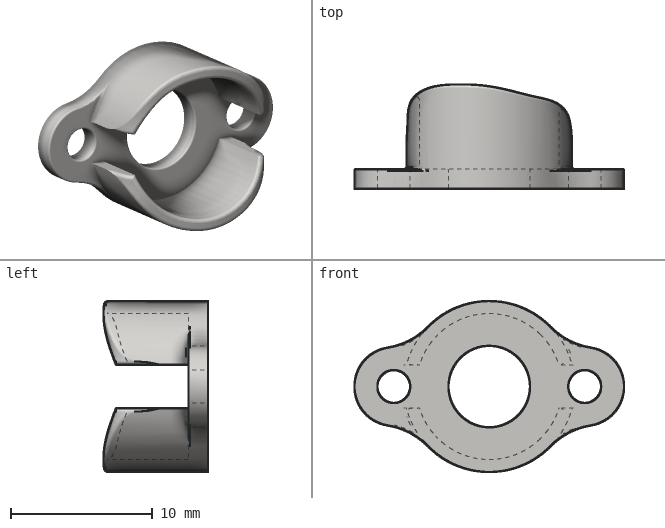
import cadquery as cq
import math

body_radius = 6.035
ear_offset = 6.73
ear_radius = 2.785
neck_radius = 5.0
flange_thickness = 1.39
flange_edge_radius = 0.13
screw_hole_radius = 1.15
centre_hole_radius = 2.865

body_height = 7.37
cavity_radius = 5.15
slot_width = 3.04
rim_radius = 0.25
root_radius = 0.16
root_height = 2.0

corner_x = math.sqrt(body_radius**2 - (slot_width / 2) ** 2)
corner_height = 3.9
crown_points = [
    (-6.3, 3.0),
    (-corner_x, corner_height),
    (-5.72, 5.5),
    (-5.48, 6.22),
    (-5.0, 6.74),
    (-4.0, 7.19),
    (-2.2, body_height),
    (-0.5, 7.3),
    (1.5, 6.93),
    (3.2, 6.51),
    (4.4, 6.2),
    (5.2, 5.7),
    (5.6, 5.05),
    (corner_x, corner_height),
    (6.3, 3.0),
]

tolerance = 0.001


def disc(radius, start, end, x=0.0):
    """Cylinder along Y from start to end, centred at x."""
    plane = cq.Workplane("XZ", origin=(0, start, 0))
    return plane.center(x, 0).circle(radius).extrude(start - end)


def flange_outline():
    """Closed flange outline, with every arc tangent to its neighbours."""
    to_disc = body_radius + neck_radius
    to_ear = ear_radius + neck_radius
    neck_x = (to_disc**2 - to_ear**2 + ear_offset**2) / (2 * ear_offset)
    neck_z = math.sqrt(to_disc**2 - neck_x**2)
    disc_x = neck_x * body_radius / to_disc
    disc_z = neck_z * body_radius / to_disc
    ear_x = ear_offset + (neck_x - ear_offset) * ear_radius / to_ear
    ear_z = neck_z * ear_radius / to_ear
    aim = math.atan2(
        (disc_z - neck_z) + (ear_z - neck_z),
        (disc_x - neck_x) + (ear_x - neck_x),
    )
    mid_x = neck_x + neck_radius * math.cos(aim)
    mid_z = neck_z + neck_radius * math.sin(aim)
    tip_x = ear_offset + ear_radius
    return (
        cq.Workplane("XZ")
        .moveTo(-disc_x, disc_z)
        .threePointArc((0, body_radius), (disc_x, disc_z))
        .threePointArc((mid_x, mid_z), (ear_x, ear_z))
        .threePointArc((tip_x, 0), (ear_x, -ear_z))
        .threePointArc((mid_x, -mid_z), (disc_x, -disc_z))
        .threePointArc((0, -body_radius), (-disc_x, -disc_z))
        .threePointArc((-mid_x, -mid_z), (-ear_x, -ear_z))
        .threePointArc((-tip_x, 0), (-ear_x, ear_z))
        .threePointArc((-mid_x, mid_z), (-disc_x, disc_z))
        .close()
    )


def rims_at_flange_top(part, radius):
    """Circular edges of the given radius lying on the top of the flange."""

    def matches(edge):
        at_top = abs(edge.Center().y - flange_thickness) < tolerance
        is_arc = edge.geomType() == "CIRCLE"
        return at_top and is_arc and abs(edge.radius() - radius) < tolerance

    return part.edges().filter(matches).vals()


def flange():
    """Flange with its upper edge rounded, carrying the rounded root of the wall."""
    plate = flange_outline().extrude(-flange_thickness)
    plate = plate.faces(">Y").edges().fillet(flange_edge_radius)
    base = plate.union(disc(body_radius, 0, root_height))
    return base.newObject(rims_at_flange_top(base, body_radius)).fillet(root_radius)


def slot():
    """Slot along X that splits the wall above the flange."""
    slab = cq.Workplane("XY").box(4 * body_radius, body_height, slot_width)
    return slab.translate((0, flange_thickness + body_height / 2, 0))


def half_wall():
    """The +Z half of the cup wall, from the base up to its crowned and rounded rim."""
    below_crown = (
        cq.Workplane("XY", origin=(0, 0, slot_width / 2))
        .moveTo(crown_points[0][0], 0)
        .lineTo(*crown_points[0])
        .spline(crown_points[1:], includeCurrent=True)
        .lineTo(crown_points[-1][0], 0)
        .close()
        .extrude(body_radius)
    )
    half = disc(body_radius, 0, 2 * body_height).intersect(below_crown)
    half = half.cut(disc(cavity_radius, flange_thickness, 2 * body_height))
    crown = half.faces().filter(lambda face: face.geomType() == "EXTRUSION")
    return half.newObject(crown.edges().vals()).fillet(rim_radius)


def cut_hole(part, radius, x=0.0):
    """Cut a hole along Y through the flange and round its inner rim."""
    drilled = part.cut(disc(radius, 0, body_height, x))
    rims = [edge for edge in rims_at_flange_top(drilled, radius) if abs(edge.Center().x - x) < radius]
    return drilled.newObject(rims).fillet(flange_edge_radius)


upper_half = half_wall()
result = flange().cut(slot())
result = result.union(upper_half).union(upper_half.mirror("XY"))
result = result.cut(disc(cavity_radius, flange_thickness, body_height))
result = cut_hole(result, centre_hole_radius)
for side in (-1, 1):
    result = cut_hole(result, screw_hole_radius, side * ear_offset)